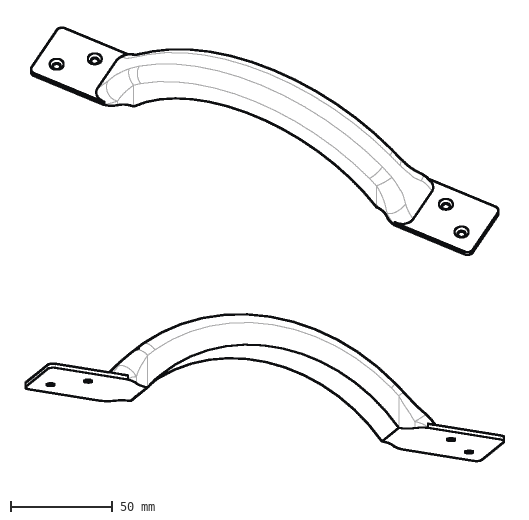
import cadquery as cq
import math

LENGTH = 245.0
WIDTH = 32.0
HEIGHT = 49.7

PLATE_THICKNESS = 2.2
PLATE_INNER_X = 80.5
PLATE_CORNER_RADIUS = 3.0
HOLE_DIAMETER = 4.0
COUNTERSINK_DIAMETER = 6.9
COUNTERSINK_ANGLE = 90.0
OUTER_HOLE_X = 112.5
INNER_HOLE_X = 97.5
HOLE_OFFSET_Y = 6.0

OUTER_RADIUS = 104.5
GRIP_DEPTH = 17.6
GRIP_WIDTH = 20.3
GRIP_EDGE_RADIUS = 6.1
FLARE_LENGTH = 14.7
HOLLOW_SHARE = 0.5

inner_radius = OUTER_RADIUS - GRIP_DEPTH
arch_center_z = HEIGHT - OUTER_RADIUS
flare_start_x = math.sqrt(inner_radius**2 - arch_center_z**2)
flare_end_x = flare_start_x + FLARE_LENGTH


def make_arch_cylinder(radius):
    """Full-width cylinder about the common axis of the arch surfaces."""
    return (
        cq.Workplane("XZ", origin=(0, 0, arch_center_z))
        .circle(radius)
        .extrude(WIDTH / 2, both=True)
    )


def make_grip_plan():
    """Plan outline: a narrow grip widening through S-curves into full-width feet."""
    half_width = WIDTH / 2
    half_grip = GRIP_WIDTH / 2
    turn_x = flare_start_x + HOLLOW_SHARE * FLARE_LENGTH
    turn_y = half_grip + HOLLOW_SHARE * (half_width - half_grip)
    end_x = LENGTH / 2
    return (
        cq.Workplane("XY")
        .moveTo(-flare_start_x, half_grip)
        .lineTo(flare_start_x, half_grip)
        .tangentArcPoint((turn_x, turn_y), relative=False)
        .tangentArcPoint((flare_end_x, half_width), relative=False)
        .lineTo(end_x, half_width)
        .lineTo(end_x, -half_width)
        .lineTo(flare_end_x, -half_width)
        .tangentArcPoint((turn_x, -turn_y), relative=False)
        .tangentArcPoint((flare_start_x, -half_grip), relative=False)
        .lineTo(-flare_start_x, -half_grip)
        .tangentArcPoint((-turn_x, -turn_y), relative=False)
        .tangentArcPoint((-flare_end_x, -half_width), relative=False)
        .lineTo(-end_x, -half_width)
        .lineTo(-end_x, half_width)
        .lineTo(-flare_end_x, half_width)
        .tangentArcPoint((-turn_x, turn_y), relative=False)
        .tangentArcPoint((-flare_start_x, half_grip), relative=False)
        .close()
        .extrude(HEIGHT)
    )


def make_grip():
    """Arch trimmed to the plan outline, with the long outer edges rounded."""
    body = make_arch_cylinder(OUTER_RADIUS).intersect(make_grip_plan())
    outer_face = body.faces(cq.selectors.NearestToPointSelector((0, 0, HEIGHT / 2)))
    rounded = outer_face.edges("not |Y").fillet(GRIP_EDGE_RADIUS)
    return rounded.cut(make_arch_cylinder(inner_radius))


def make_plate(side):
    """Countersunk mounting plate on the given side of the grip (-1 or 1)."""
    plate_length = LENGTH / 2 - PLATE_INNER_X
    plate = (
        cq.Workplane("XY")
        .center(side * (PLATE_INNER_X + plate_length / 2), 0)
        .rect(plate_length, WIDTH)
        .extrude(PLATE_THICKNESS)
        .edges("|Z")
        .edges(">X" if side > 0 else "<X")
        .fillet(PLATE_CORNER_RADIUS)
    )
    holes = [(side * OUTER_HOLE_X, -HOLE_OFFSET_Y), (side * INNER_HOLE_X, HOLE_OFFSET_Y)]
    return (
        plate.faces(">Z")
        .workplane(origin=(0, 0, PLATE_THICKNESS))
        .pushPoints(holes)
        .cskHole(HOLE_DIAMETER, COUNTERSINK_DIAMETER, COUNTERSINK_ANGLE)
    )


result = make_grip()
for side in (-1, 1):
    result = result.union(make_plate(side))